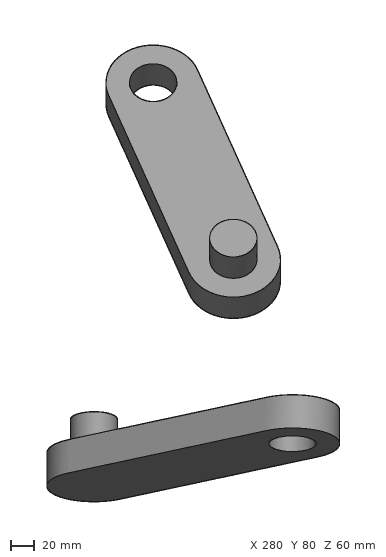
import cadquery as cq

arm_length = 280.0
arm_width = 80.0
arm_thickness = 30.0
pin_height = 30.0
bore_diameter = 40.0
pin_diameter = bore_diameter

center_distance = arm_length - arm_width
end_offset = center_distance / 2


def make_arm():
    """Flat arm with full-round ends, resting on the XY plane."""
    return cq.Workplane("XY").slot2D(arm_length, arm_width).extrude(arm_thickness)


def make_bore():
    """Cutter for the through hole at the -X end."""
    return (
        cq.Workplane("XY")
        .center(-end_offset, 0)
        .circle(bore_diameter / 2)
        .extrude(arm_thickness)
    )


def make_pin():
    """Crank pin standing on the top face at the +X end."""
    return (
        cq.Workplane("XY", origin=(end_offset, 0, arm_thickness))
        .circle(pin_diameter / 2)
        .extrude(pin_height)
    )


result = make_arm().cut(make_bore()).union(make_pin())